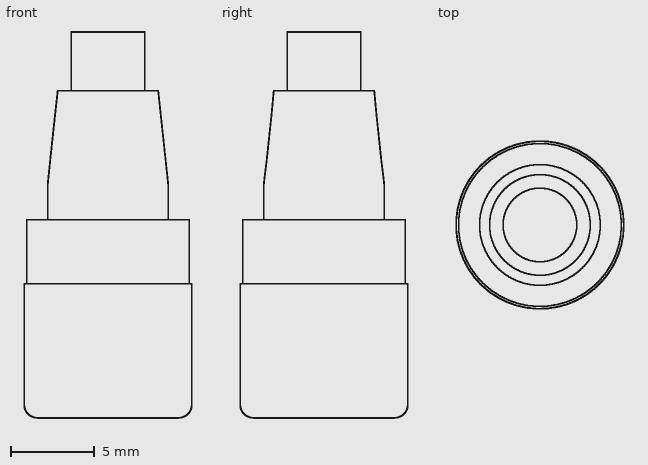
import cadquery as cq

SLEEVE_TOP = 8.0
COLLAR_TOP = 11.82
NECK_TOP = 13.92
TAPER_TOP = 19.5
TOTAL_HEIGHT = 23.0

SLEEVE_DIAMETER = 10.0
COLLAR_DIAMETER = 9.7
NECK_DIAMETER = 7.2
TAPER_TOP_DIAMETER = 6.0
TIP_DIAMETER = 4.4

BOTTOM_FILLET = 0.8


def make_sleeve():
    """Plain cylindrical base with a rounded bottom edge."""
    sleeve = cq.Workplane("XY").circle(SLEEVE_DIAMETER / 2).extrude(SLEEVE_TOP)
    return sleeve.faces("<Z").edges().fillet(BOTTOM_FILLET)


def make_stem():
    """Turned collar, neck, taper and tip, standing on the flat top of the sleeve."""
    collar_radius = COLLAR_DIAMETER / 2
    neck_radius = NECK_DIAMETER / 2
    taper_top_radius = TAPER_TOP_DIAMETER / 2
    tip_radius = TIP_DIAMETER / 2

    half_section = (
        cq.Workplane("XZ")
        .moveTo(0, SLEEVE_TOP)
        .lineTo(collar_radius, SLEEVE_TOP)
        .lineTo(collar_radius, COLLAR_TOP)
        .lineTo(neck_radius, COLLAR_TOP)
        .lineTo(neck_radius, NECK_TOP)
        .lineTo(taper_top_radius, TAPER_TOP)
        .lineTo(tip_radius, TAPER_TOP)
        .lineTo(tip_radius, TOTAL_HEIGHT)
        .lineTo(0, TOTAL_HEIGHT)
        .close()
    )
    return half_section.revolve(360, (0, 0, 0), (0, 1, 0))


sleeve = make_sleeve()
stem = make_stem()

result = cq.Compound.makeCompound([sleeve.val(), stem.val()])